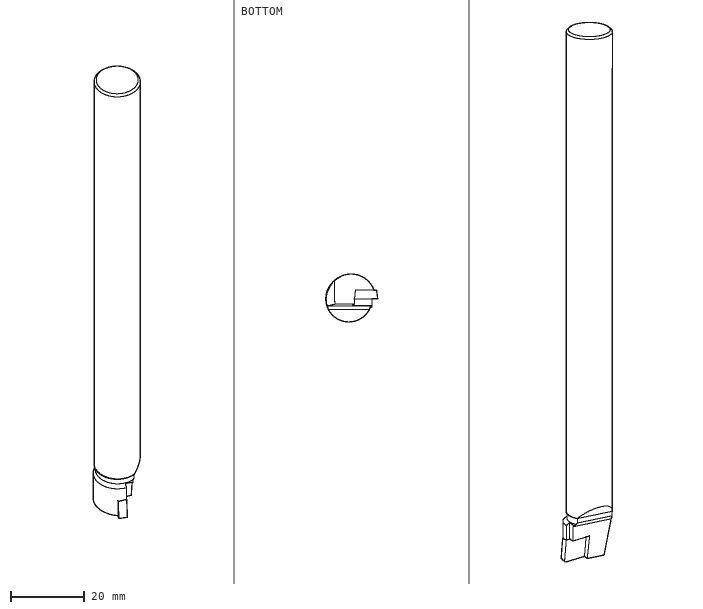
import cadquery as cq
import math


shank_diameter = 12.69
shank_radius = shank_diameter / 2
overall_length = 153.65
top_chamfer = 0.6

shank_bottom = 13.2
neck_bottom = 11.4
head_top = 10.6

neck_radius = 6.2
neck_center = (0, shank_radius - neck_radius)

head_radius = 6.7
head_reach_x = 7.3
head_reach_y = 6.825
head_center = (head_reach_x - head_radius, head_radius - head_reach_y)

side_clearance_angle = 11
side_clearance_bottom_x = -shank_radius + shank_bottom * math.tan(math.radians(side_clearance_angle))

neck_flat_y = 2.85
ramp_top = shank_bottom + shank_radius - neck_flat_y
neck_flat_bottom = 11.9
face_top = 10.7
face_top_y = 1.95
face_bottom_y = 1.45

end_clearance_angle = 6
end_height = 0.35

insert_inscribed_diameter = 6.35
insert_thickness = 2.38
insert_corner_angle = 80
insert_relief_angle = 7
insert_nose_radius = 0.4
edge_tilt = (90 - insert_corner_angle) / 2
tip_reach = 7.925
insert_side = insert_inscribed_diameter / math.sin(math.radians(insert_corner_angle))

margin = 10


def direction(angle):
    """Unit vector of an edge in the XZ plane, at an angle from +X toward +Z."""
    return cq.Vector(math.cos(math.radians(angle)), math.sin(math.radians(angle)))


side_edge = direction(90 + edge_tilt)
end_edge = direction(180 - edge_tilt)
corner_axis = (side_edge + end_edge).normalized()
half_corner = math.radians(insert_corner_angle / 2)
nose_center = cq.Vector(tip_reach - insert_nose_radius, insert_nose_radius)
sharp_tip = nose_center - corner_axis * (insert_nose_radius / math.sin(half_corner))
inner_corner = sharp_tip + (side_edge + end_edge) * insert_side


def flat_point(vector):
    return (vector.x, vector.y)


def make_insert():
    nose_setback = insert_nose_radius / math.tan(half_corner)
    nose_start = sharp_tip + side_edge * nose_setback
    nose_end = sharp_tip + end_edge * nose_setback
    nose_middle = nose_center - corner_axis * insert_nose_radius
    profile = (
        cq.Workplane("XZ")
        .moveTo(*flat_point(nose_start))
        .lineTo(*flat_point(sharp_tip + side_edge * insert_side))
        .lineTo(*flat_point(inner_corner))
        .lineTo(*flat_point(sharp_tip + end_edge * insert_side))
        .lineTo(*flat_point(nose_end))
        .threePointArc(flat_point(nose_middle), flat_point(nose_start))
        .close()
    )
    return profile.extrude(insert_thickness, taper=insert_relief_angle)


def make_insert_pocket():
    """Seat sharing the insert's two inner walls, open past the cutting edges and above the insert."""
    pocket_side = 2 * insert_side
    corners = [
        inner_corner,
        inner_corner - side_edge * pocket_side,
        inner_corner - (side_edge + end_edge) * pocket_side,
        inner_corner - end_edge * pocket_side,
    ]
    points = [flat_point(corner) for corner in corners]
    seat = cq.Workplane("XZ").polyline(points).close().extrude(insert_thickness, taper=insert_relief_angle)
    opening = cq.Workplane("XZ").polyline(points).close().extrude(-margin)
    return seat.union(opening)


def make_round_sections():
    shank = (
        cq.Workplane("XY", origin=(0, 0, shank_bottom))
        .circle(shank_radius)
        .extrude(overall_length - shank_bottom)
        .faces(">Z")
        .chamfer(top_chamfer)
    )
    neck = (
        cq.Workplane("XY", origin=(0, 0, neck_bottom))
        .center(*neck_center)
        .circle(neck_radius)
        .extrude(shank_bottom - neck_bottom)
    )
    shoulder = (
        cq.Workplane("XY", origin=(*head_center, head_top))
        .circle(head_radius)
        .workplane(offset=neck_bottom - head_top)
        .center(neck_center[0] - head_center[0], neck_center[1] - head_center[1])
        .circle(neck_radius)
        .loft(ruled=True)
    )
    head = cq.Workplane("XY").center(*head_center).circle(head_radius).extrude(head_top)
    return shank.union(neck).union(shoulder).union(head)


def make_side_clearance():
    profile = [
        (-shank_radius, shank_bottom),
        (side_clearance_bottom_x, 0),
        (side_clearance_bottom_x, -margin),
        (-shank_radius - margin, -margin),
        (-shank_radius - margin, shank_bottom),
    ]
    return cq.Workplane("XZ").polyline(profile).close().extrude(margin, both=True)


def make_chip_face():
    outside_y = shank_radius + margin
    profile = [
        (shank_radius, ramp_top),
        (neck_flat_y, shank_bottom),
        (neck_flat_y, neck_flat_bottom),
        (face_top_y, face_top),
        (face_bottom_y, 0),
        (outside_y, 0),
        (outside_y, ramp_top),
    ]
    return cq.Workplane("YZ").polyline(profile).close().extrude(margin, both=True)


def make_end_clearance():
    rise = math.tan(math.radians(end_clearance_angle))
    profile = [
        (face_bottom_y + margin, end_height - margin * rise),
        (face_bottom_y - margin, end_height + margin * rise),
        (face_bottom_y - margin, -margin),
        (face_bottom_y + margin, -margin),
    ]
    return cq.Workplane("YZ").polyline(profile).close().extrude(margin, both=True)


def make_chip_clearance():
    """Trims the head above the insert's top plane so that it stays within the shank's +X side."""
    return cq.Workplane("XY", origin=(shank_radius, 0, 0)).box(
        margin, margin, shank_bottom, centered=False
    )


insert = make_insert()
bar = (
    make_round_sections()
    .cut(make_side_clearance())
    .cut(make_chip_face())
    .cut(make_end_clearance())
    .cut(make_chip_clearance())
    .cut(make_insert_pocket())
)

result = cq.Compound.makeCompound([bar.val(), insert.val()])